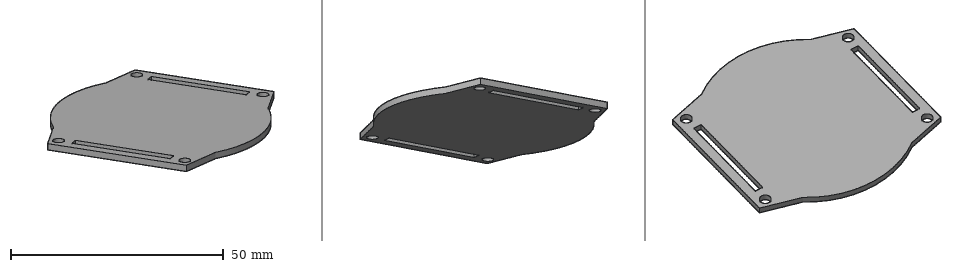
import cadquery as cq

length = 52.05
thickness = 1.6
disc_diameter = 51.9
lug_end_width = 35.5
shoulder_y = 15.6

slot_length = 25.15
slot_width = 2.1
slot_y = 22.55
hole_diameter = 2.75
hole_x = 16.15
hole_y = 23.2

disc_radius = disc_diameter / 2
shoulder_x = (disc_radius**2 - shoulder_y**2) ** 0.5
end_x = lug_end_width / 2
end_y = length / 2


def make_plate():
    """Outline with straight lug edges and a disc arc on each side."""
    return (
        cq.Workplane("XY")
        .moveTo(-end_x, end_y)
        .lineTo(end_x, end_y)
        .lineTo(shoulder_x, shoulder_y)
        .threePointArc((disc_radius, 0), (shoulder_x, -shoulder_y))
        .lineTo(end_x, -end_y)
        .lineTo(-end_x, -end_y)
        .lineTo(-shoulder_x, -shoulder_y)
        .threePointArc((-disc_radius, 0), (-shoulder_x, shoulder_y))
        .close()
        .extrude(thickness)
    )


def make_slots():
    """Cutters for the strap slot in each lug."""
    return (
        cq.Workplane("XY")
        .pushPoints([(0, slot_y), (0, -slot_y)])
        .rect(slot_length, slot_width)
        .extrude(thickness)
    )


def make_holes():
    """Cutters for the four corner holes."""
    return (
        cq.Workplane("XY")
        .rect(2 * hole_x, 2 * hole_y, forConstruction=True)
        .vertices()
        .circle(hole_diameter / 2)
        .extrude(thickness)
    )


result = make_plate().cut(make_slots()).cut(make_holes())